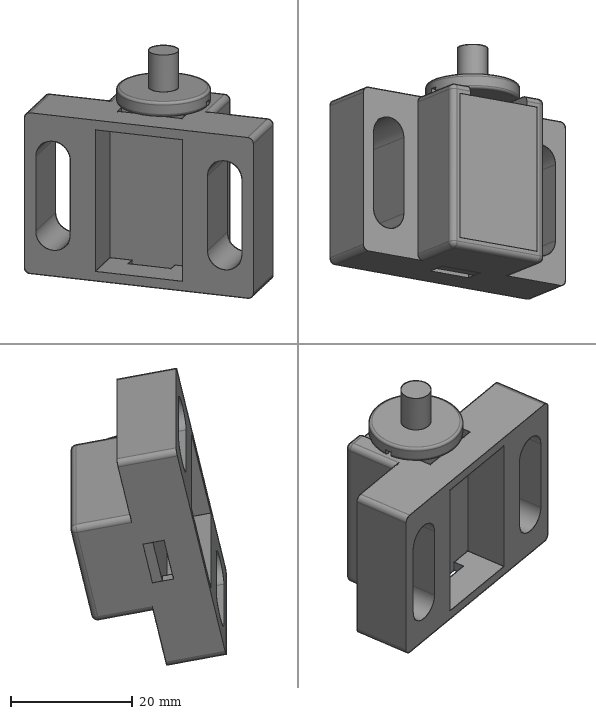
import cadquery as cq

plate_width = 40.0
plate_depth = 10.0
height = 28.1
box_width = 18.4
total_depth = 20.2
edge_radius = 1.0

slot_width = 6.0
slot_length = 19.05
slot_x = 15.0

window_width = 15.2
wall = 1.7
opening_front_y = 5.5
top_opening_width = 11.2
bottom_opening_width = 7.5

block_front_y = 7.35
block_lip_depth = 1.7
lip_back_y = block_front_y + block_lip_depth

screw_y = 12.45
head_diameter = 15.5
head_height = 2.6
head_edge_radius = 0.5
shank_diameter = 5.0
total_height = 37.1
drive_slot_width = 1.1
drive_slot_depth = 1.05


def centred_box(width, y_front, y_back, z_bottom, z_top):
    """Box centred on X = 0 between the given Y and Z limits."""
    return cq.Workplane("XY").box(
        width, y_back - y_front, z_top - z_bottom, centered=(True, False, False)
    ).translate((0, y_front, z_bottom))


def window_with_passages(window_front_y, passage_front_y, top_passage_back_y):
    """Window shape with narrower passages through the top and bottom walls.

    The bottom passage always ends behind the lip of the block.
    """
    window = centred_box(window_width, window_front_y, total_depth, wall, height - wall)
    top_passage = centred_box(
        top_opening_width, passage_front_y, top_passage_back_y, height / 2, height
    )
    bottom_passage = centred_box(
        bottom_opening_width, passage_front_y, lip_back_y, 0, height / 2
    )
    return window.union(top_passage).union(bottom_passage)


def make_housing():
    plate = centred_box(plate_width, 0, plate_depth, 0, height)
    plate = plate.edges("|Y").fillet(edge_radius)

    box = centred_box(box_width, 0, total_depth, 0, height)
    box = box.edges("|Y or >Y").fillet(edge_radius)
    body = plate.union(box)

    slots = (
        cq.Workplane("XZ", origin=(0, 0, height / 2))
        .pushPoints([(-slot_x, 0), (slot_x, 0)])
        .slot2D(slot_length, slot_width, 90)
        .extrude(-plate_depth)
    )
    return body.cut(slots).cut(window_with_passages(0, opening_front_y, total_depth))


def make_block():
    return window_with_passages(block_front_y, block_front_y, lip_back_y)


def make_screw():
    head = cq.Workplane("XY").circle(head_diameter / 2).extrude(head_height)
    head = head.edges().fillet(head_edge_radius)
    drive_slot = cq.Workplane("XY").box(
        head_diameter, drive_slot_width, drive_slot_depth, centered=(True, True, False)
    )
    shank = (
        cq.Workplane("XY", origin=(0, 0, head_height))
        .circle(shank_diameter / 2)
        .extrude(total_height - height - head_height)
    )
    return head.cut(drive_slot).union(shank).translate((0, screw_y, height))


housing = make_housing()
block = make_block()
screw = make_screw()

result = cq.Compound.makeCompound([housing.val(), block.val(), screw.val()])